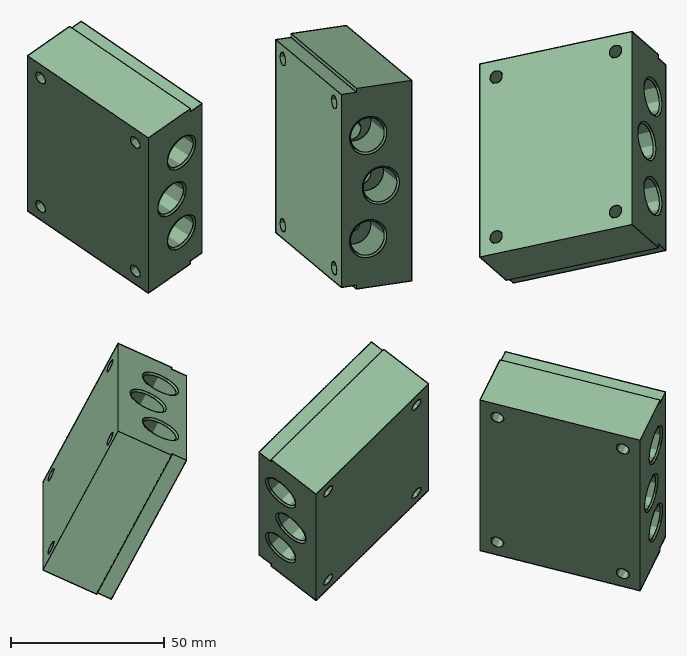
import cadquery as cq

width = 55.5
depth = 25.0
height = 70.0

step_depth = 5.4
step_height = 1.3

mount_diameter = 4.4
mount_margin = 6.0

gallery_diameter = 6.9
port_diameter = 11.9
port_depth = 12.0
port_chamfer = 0.6

outer_port_setback = 9.5
outer_port_rise = 18.0
outer_gallery_setback = 8.5
outer_gallery_rise = 16.1
middle_port_setback = 14.0
middle_gallery_setback = 12.05

rear_y = depth / 2
end_x = width / 2


def make_block():
    block = cq.Workplane("XY").box(width, depth, height)
    step = cq.Workplane("XY").box(width, step_depth, step_height)
    step_y = rear_y - step_depth / 2
    step_z = (height - step_height) / 2
    for side in (-1, 1):
        block = block.cut(step.translate((0, step_y, side * step_z)))
    return block


def make_mounting_holes():
    return (
        cq.Workplane("XZ", origin=(0, rear_y, 0))
        .rect(width - 2 * mount_margin, height - 2 * mount_margin, forConstruction=True)
        .vertices()
        .circle(mount_diameter / 2)
        .extrude(depth)
    )


def make_gallery(setback, rise):
    return (
        cq.Workplane("YZ", origin=(-end_x, rear_y - setback, rise))
        .circle(gallery_diameter / 2)
        .extrude(width)
    )


def make_port_pair(setback, rise):
    """Flat-bottomed ports with chamfered mouths, alike on both ends of the block."""
    bore_radius = port_diameter / 2
    mouth_radius = bore_radius + port_chamfer
    profile = [
        (-end_x, 0),
        (-end_x, mouth_radius),
        (-end_x + port_chamfer, bore_radius),
        (-end_x + port_depth, bore_radius),
        (-end_x + port_depth, 0),
    ]
    port = cq.Workplane("XY").polyline(profile).close().revolve(360, (0, 0), (1, 0))
    pair = port.union(port.mirror("YZ"))
    return pair.translate((0, rear_y - setback, rise))


result = make_block().cut(make_mounting_holes())

for side in (-1, 1):
    result = result.cut(make_gallery(outer_gallery_setback, side * outer_gallery_rise))
    result = result.cut(make_port_pair(outer_port_setback, side * outer_port_rise))

result = result.cut(make_gallery(middle_gallery_setback, 0))
result = result.cut(make_port_pair(middle_port_setback, 0))